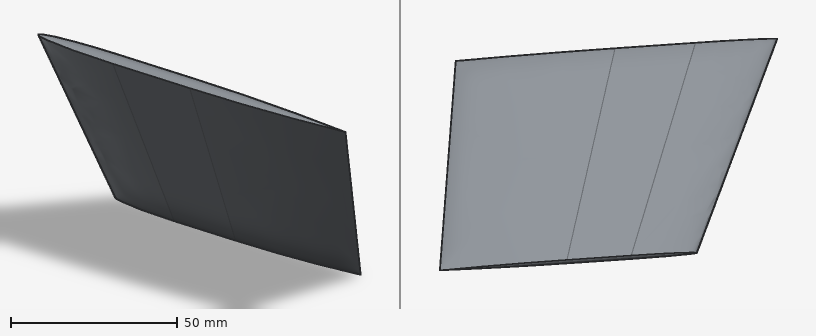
import cadquery as cq

height = 65.0
thickness = 4.0
half_thickness = thickness / 2
root_chord = 80.0
tip_chord = 100.0
overall_length = 105.0
root_nose_x = overall_length - root_chord
tip_nose_x = 0.0
nose_fraction = 0.25
flat_end_fraction = 0.5


def add_section(workplane, nose_x, chord):
    """Draw one closed blade section, symmetric about the chord line."""
    flat_start_x = nose_x + nose_fraction * chord
    flat_end_x = nose_x + flat_end_fraction * chord
    tail_x = nose_x + chord
    nose_length = nose_fraction * chord
    return (
        workplane.moveTo(flat_start_x, half_thickness)
        .lineTo(flat_end_x, half_thickness)
        .tangentArcPoint((tail_x, 0), relative=False)
        .threePointArc(lower_tail_midpoint(flat_end_x, tail_x), (flat_end_x, -half_thickness))
        .lineTo(flat_start_x, -half_thickness)
        .ellipseArc(nose_length, half_thickness, 90, 270, startAtCurrent=True, sense=-1)
        .close()
    )


def lower_tail_midpoint(flat_end_x, tail_x):
    """Return a point halfway along X on the arc tangent to the lower flat."""
    run = tail_x - flat_end_x
    radius = (run**2 + half_thickness**2) / (2 * half_thickness)
    drop = radius - (radius**2 - (run / 2) ** 2) ** 0.5
    return flat_end_x + run / 2, -half_thickness + drop


root = add_section(cq.Workplane("XY"), root_nose_x, root_chord)
blade = add_section(root.workplane(offset=height), tip_nose_x, tip_chord)
result = blade.loft(ruled=True)